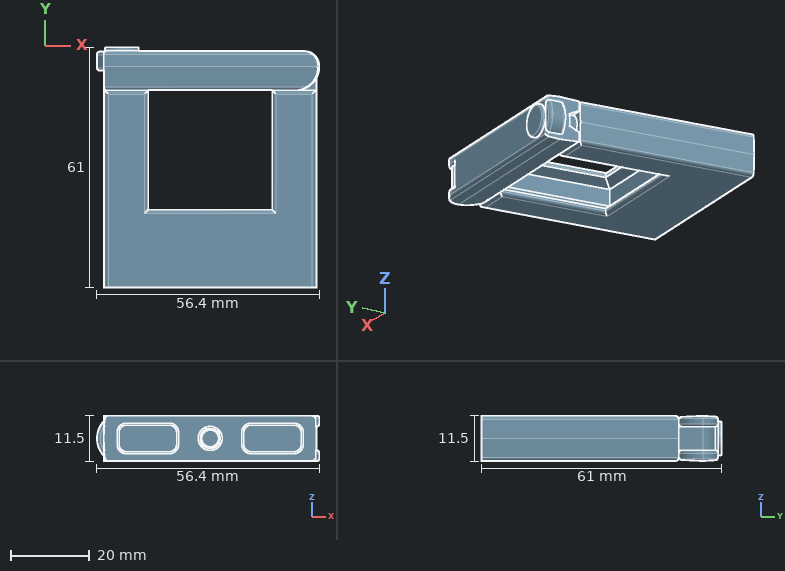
import cadquery as cq
import math

thickness = 11.5
half_thickness = thickness / 2

body_width = 53.9
body_length = 50.1
body_middle = body_width / 2
flank_bulge = 0.25
edge_radius = 1.0

window_width = 31.35
window_front = 19.8
groove_depth = 2.6
groove_mouth_half = 4.2
groove_floor_half = 2.25

draft = 2.0

pocket_width = 15.6
pocket_height = 7.8
pocket_radius = 2.45
pocket_depth = 14.65
pocket_spacing = 31.6
hole_diameter = 5.05
hole_depth = 11.0
countersink_diameter = 6.1
countersink_depth = 0.6

gate_front = body_length
gate_rear = 60.0
ridge_y = 56.1
gate_end = 54.65
gate_front_drop = 0.3
gate_rear_drop = 0.25
gate_edge_radius = 0.85
gate_end_edge_radius = 0.6
gate_left_corner_radius = 0.6
gate_front_radius = ridge_y - gate_front
gate_rear_radius = gate_rear - ridge_y

tab_half_thickness = 3.0
slot_edge_radius = 0.75

notch_depth = 3.95
notch_rear = 53.2
notch_rear_half = 1.65
notch_front_half = 3.1
pin_radius = 3.2
pin_recess = 1.8

axis_x = 4.6
cap_radius = 4.35
cap_rear = 61.0
cap_edge_radius = 0.5
wheel_overhang = 1.75
wheel_radius = axis_x + wheel_overhang
wheel_embedding = 1.2
wheel_front = 55.0
wheel_rear = 59.9
wheel_edge_radius = 0.8


def centered_box(x_min, x_max, y_min, y_max, half_height):
    """Box between the given sides, centred on Z = 0."""
    return (
        cq.Workplane("XY", origin=(0, 0, -half_height))
        .moveTo(x_min, y_min)
        .lineTo(x_max, y_min)
        .lineTo(x_max, y_max)
        .lineTo(x_min, y_max)
        .close()
        .extrude(2 * half_height)
    )


def disc(x, y_front, y_rear, radius):
    """Disc with its axis along Y, centred on Z = 0."""
    return cq.Workplane("XZ", origin=(x, y_front, 0)).circle(radius).extrude(y_front - y_rear)


def make_body():
    """C-shaped body with its grooved window, before the front face is cut."""
    left_inset = flank_bulge
    right_inset = body_width - flank_bulge
    body = (
        cq.Workplane("XZ")
        .polyline([
            (left_inset, -half_thickness),
            (right_inset, -half_thickness),
            (body_width, 0),
            (right_inset, half_thickness),
            (left_inset, half_thickness),
            (0, 0),
        ])
        .close()
        .extrude(-body_length)
    )
    window_left = body_middle - window_width / 2
    window_right = body_middle + window_width / 2
    body = body.cut(centered_box(window_left, window_right, window_front, body_length, half_thickness))
    body = body.faces("|Z").edges("not(<Y)").fillet(edge_radius)
    return body.cut(make_groove())


def make_groove():
    """Trapezoidal channel that runs around the three walls of the window."""
    overrun = 6.1
    groove_draft = math.degrees(math.atan(groove_depth / (groove_mouth_half - groove_floor_half)))
    width = window_width + 2 * groove_depth
    front = window_front - groove_depth
    rear = body_length + overrun
    half_groove = (
        cq.Workplane("XY", origin=(body_middle, (front + rear) / 2, groove_floor_half))
        .rect(width, rear - front)
        .extrude(groove_mouth_half - groove_floor_half, taper=groove_draft)
    )
    channel = centered_box(body_middle - width / 2, body_middle + width / 2, front, rear, groove_floor_half)
    groove = channel.union(half_groove).union(half_groove.mirror("XY"))
    return groove.intersect(centered_box(0, body_width, 0, body_length, half_thickness))


def make_pocket(x):
    return (
        cq.Workplane("XZ", origin=(x, 0, 0))
        .sketch()
        .rect(pocket_width, pocket_height)
        .vertices()
        .fillet(pocket_radius)
        .finalize()
        .extrude(-pocket_depth, taper=draft)
    )


def make_hole():
    """Drafted blind hole with a countersunk mouth."""
    bore = cq.Workplane("XZ").circle(hole_diameter / 2).extrude(-hole_depth, taper=draft)
    countersink = cq.Solid.makeCone(
        countersink_diameter / 2,
        hole_diameter / 2,
        countersink_depth,
        cq.Vector(0, 0, 0),
        cq.Vector(0, 1, 0),
    )
    return bore.union(cq.Workplane(countersink)).translate((body_middle, 0, 0))


def rounded_bar(end_x, rear_radius, front_radius, half_height):
    """Bar from X = 0 whose right end is rounded about the ridge."""
    diagonal = math.sqrt(0.5)
    rear_y = ridge_y + rear_radius
    front_y = ridge_y - front_radius
    rear_center = end_x - rear_radius
    front_center = end_x - front_radius
    front_arc_middle = (front_center + front_radius * diagonal, ridge_y - front_radius * diagonal)
    rear_arc_middle = (rear_center + rear_radius * diagonal, ridge_y + rear_radius * diagonal)
    return (
        cq.Workplane("XY", origin=(0, 0, -half_height))
        .moveTo(0, front_y)
        .lineTo(front_center, front_y)
        .threePointArc(front_arc_middle, (end_x, ridge_y))
        .threePointArc(rear_arc_middle, (rear_center, rear_y))
        .lineTo(0, rear_y)
        .close()
        .extrude(2 * half_height)
    )


def make_ridged_bar():
    """Bar along X with rounded edges, thickest at the ridge."""
    front_half = half_thickness - gate_front_drop
    rear_half = half_thickness - gate_rear_drop
    bar = (
        cq.Workplane("YZ")
        .polyline([
            (gate_front, -front_half),
            (ridge_y, -half_thickness),
            (gate_rear, -rear_half),
            (gate_rear, rear_half),
            (ridge_y, half_thickness),
            (gate_front, front_half),
        ])
        .close()
        .extrude(gate_end)
    )
    return bar.edges("|X").edges("<Y or >Y").fillet(gate_edge_radius)


def make_hinge_slot():
    """Slot through the right end of the gate, from where its front corner starts to curve."""
    slot_left = gate_end - gate_front_radius
    return centered_box(slot_left, gate_end, gate_front, gate_rear, tab_half_thickness)


def make_hinge_tab():
    """Tab that fills the slot, set in from the gate's round end and square at the body."""
    end_inset = gate_end - body_width
    tab_left = gate_end - gate_front_radius
    tab_rear_radius = gate_rear_radius - end_inset
    tab_front_radius = gate_front_radius - end_inset
    rounded_tab = rounded_bar(body_width, tab_rear_radius, tab_front_radius, tab_half_thickness)
    tab_end = rounded_tab.intersect(
        centered_box(tab_left, body_width, gate_front, gate_rear, tab_half_thickness)
    )
    return tab_end.union(centered_box(tab_left, body_width, gate_front, ridge_y, tab_half_thickness))


def make_latch_notch():
    """Trapezoidal notch, less the latch pin that stays inside it."""
    notch = (
        cq.Workplane("YZ")
        .polyline([
            (gate_front, -notch_front_half),
            (notch_rear, -notch_rear_half),
            (notch_rear, notch_rear_half),
            (gate_front, notch_front_half),
        ])
        .close()
        .extrude(notch_depth)
    )
    return notch.cut(disc(pin_recess + pin_radius, gate_front, notch_rear, pin_radius))


def make_gate():
    round_end = rounded_bar(gate_end, gate_rear_radius, gate_front_radius, half_thickness)
    round_end = round_end.faces("|Z").edges("%CIRCLE").fillet(gate_end_edge_radius)
    left_corners = centered_box(0, gate_end, gate_front, gate_rear, half_thickness)
    left_corners = left_corners.edges("|Z and <X").fillet(gate_left_corner_radius)
    gate = make_ridged_bar().intersect(round_end).intersect(left_corners)
    gate = gate.cut(make_hinge_slot())

    slot_reach = tab_half_thickness + slot_edge_radius
    slot_region = cq.selectors.BoxSelector(
        (gate_end - gate_front_radius, gate_front, -slot_reach),
        (gate_end, gate_rear, slot_reach),
    )
    gate = gate.edges(slot_region).edges("%CIRCLE").fillet(slot_edge_radius)
    return gate.cut(make_latch_notch())


def make_wheel():
    wheel = disc(axis_x, wheel_front, wheel_rear, wheel_radius)
    wheel = wheel.edges("%CIRCLE").fillet(wheel_edge_radius)
    bulge = wheel.intersect(
        centered_box(-wheel_overhang, wheel_embedding, wheel_front, wheel_rear, wheel_radius)
    )
    cap = disc(axis_x, wheel_front, cap_rear, cap_radius)
    cap = cap.faces(">Y").edges().fillet(cap_edge_radius)
    return bulge.union(cap)


body = make_body()
for side in (-1, 1):
    body = body.cut(make_pocket(body_middle + side * pocket_spacing / 2))
body = body.cut(make_hole())
result = body.union(make_gate()).union(make_hinge_tab()).union(make_wheel())